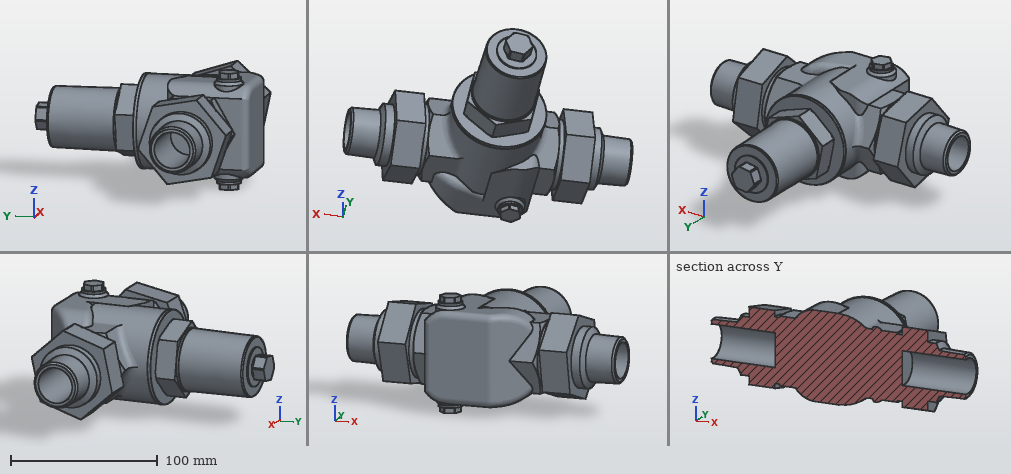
import cadquery as cq
import math


HALF_LENGTH = 97.5
BORE_DIA = 25.0
BORE_DEPTH = 48.8
TAIL_END_DIA = 32.2
TAIL_ROOT_DIA = 33.2
TAIL_ROOT_X = 77.5
TAIL_CHAMFER = 1.4
COLLAR_DIA = 42.5
COLLAR_X = 74.9
NUT_OUTER_X = 68.6
NUT_INNER_X = 48.5
NUT_CORNER_DIA = 62.8
LEFT_NUT_ANGLE = 49.0
RIGHT_NUT_ANGLE = 42.0
NECK_DIA = 48.0

PORT_X = 45.2
PORT_CORNER_DIA = 57.3
PORT_CHAMFER = 2.0
PORT_BLEND = 4.9
JOINT_REACH = 30.2

BARREL_DIA = 65.0
BARREL_TOP = 42.9
BARREL_BOTTOM = -11.7
BARREL_LIP_DIA = 65.5
BARREL_LIP_HEIGHT = 2.3
BARREL_LIP_ROUND = 0.8

CHAMBER_BOTTOM = -37.8
CHAMBER_HALF_DEPTH = 32.5
CHAMBER_LEFT = -33.2
CHAMBER_RIGHT = 39.8
INLET_BEND_X = -17.7
INLET_SIDE_Z = 21.5
OUTLET_BEND_X = 18.5
SHOULDER_OVERRUN = 2.0
OUTLET_SLOPE_X = 16.0
OUTLET_SLOPE_ROUND = 5.8
OUTLET_SIDE_Z = 16.0
OUTLET_SHOULDER_Y = -16.8
OUTLET_TOP_Y = -2.0
OUTLET_CREST_X = 28.3
OUTLET_ROOT_Y = -12.9
INLET_ROOT_Y = 12.5
INLET_CREST_X = -13.6
INLET_TOP_Y = 20.0
SHOULDER_ROUND = 5.8
OUTLET_TOP_ROUND = 7.8
CREST_ROUND = 11.7
INLET_TOP_ROUND = 7.8
CHAMBER_ROUND = 5.0

PLUG_X = -19.3
PLUG_Y = -21.3
PLUG_TOP = 40.46
PLUG_HEAD_BASE = 36.5
PLUG_HEAD_DIA = 15.0
PLUG_HEAD_ROUND_DIA = 14.5
PLUG_HEAD_ANGLE = 15.0
PLUG_COLLAR_DIA = 16.5
PLUG_COLLAR_BASE = 34.7
PLUG_BOSS_DIA = 20.3
PLUG_BOSS_TOP = 32.5

BONNET_HEX_CORNER_DIA = 52.6
BONNET_HEX_ANGLE = -11.5
BONNET_HEX_TOP = 57.5
BONNET_HEX_CHAMFER = 1.8
CAP_LIP_DIA = 44.3
CAP_LIP_TOP = 59.0
CAP_BASE_DIA = 43.3
CAP_TOP_DIA = 42.1
CAP_TOP = 106.0
CAP_CHAMFER = 1.2
WASHER_DIA = 27.3
WASHER_TOP = 107.0
STEM_DIA = 15.0
SCREW_BASE = 108.2
SCREW_TOP = 116.8
SCREW_CORNER_DIA = 19.3
SCREW_ROUND_DIA = 18.7
SCREW_ANGLE = 21.0


def y_plane(y):
    """Plane facing +Y at height y, with local x along +Z and local y along +X."""
    return cq.Plane(origin=(0, y, 0), xDir=(0, 0, 1), normal=(0, 1, 0))


def y_cylinder(diameter, bottom, top):
    return cq.Workplane(y_plane(bottom)).circle(diameter / 2).extrude(top - bottom)


def y_hexagon(corner_diameter, bottom, top, angle):
    """Hexagonal prism along Y; the angle of one corner is measured from +Z towards +X."""
    plane = y_plane(bottom).rotated((0, 0, angle))
    return cq.Workplane(plane).polygon(6, corner_diameter).extrude(top - bottom)


def x_hexagon(corner_diameter, start, end, angle=0.0):
    """Hexagonal prism along X; the angle of one corner is measured from +Y towards +Z."""
    plane = cq.Plane(origin=(start, 0, 0), xDir=(0, 1, 0), normal=(1, 0, 0)).rotated((0, 0, angle))
    return cq.Workplane(plane).polygon(6, corner_diameter).extrude(end - start)


def make_union_end(nut_angle):
    """Tail pipe, collar, neck and union nut on the +X end."""
    end_radius = TAIL_END_DIA / 2
    tail = (
        cq.Workplane("XY")
        .moveTo(0, 0)
        .lineTo(0, NECK_DIA / 2)
        .lineTo(NUT_INNER_X, NECK_DIA / 2)
        .lineTo(NUT_INNER_X, COLLAR_DIA / 2)
        .lineTo(COLLAR_X, COLLAR_DIA / 2)
        .lineTo(TAIL_ROOT_X, TAIL_ROOT_DIA / 2)
        .lineTo(HALF_LENGTH - TAIL_CHAMFER, end_radius)
        .lineTo(HALF_LENGTH, end_radius - TAIL_CHAMFER)
        .lineTo(HALF_LENGTH, 0)
        .close()
        .revolve(360, (0, 0, 0), (1, 0, 0))
    )
    return tail.union(x_hexagon(NUT_CORNER_DIA, NUT_INNER_X, NUT_OUTER_X, nut_angle))


def make_ports():
    """Hexagonal bar along X with its outer corners turned down."""
    corner_radius = PORT_CORNER_DIA / 2
    turned = (
        cq.Workplane("YZ")
        .workplane(offset=-PORT_X)
        .circle(corner_radius)
        .extrude(2 * PORT_X)
        .faces("<X or >X")
        .chamfer(PORT_CHAMFER, 2 * PORT_CHAMFER)
    )
    return x_hexagon(PORT_CORNER_DIA, -PORT_X, PORT_X).intersect(turned)


def shoulder_middle(bend, side):
    """Middle of the arc that leaves the flat at bend, parallel to X, and ends at side."""
    run = side[0] - bend[0]
    drop = bend[1] - side[1]
    radius = (run**2 + drop**2) / (2 * drop)
    half_sweep = math.atan2(drop, abs(run))
    middle_x = bend[0] + math.copysign(radius * math.sin(half_sweep), run)
    middle_z = bend[1] - radius * (1 - math.cos(half_sweep))
    return (middle_x, middle_z)


def flipped(point):
    return (point[0], -point[1])


def make_chamber():
    """Flow chamber: an outline seen along Y crossed with an outline seen along Z."""
    inlet_bend = (INLET_BEND_X, CHAMBER_HALF_DEPTH)
    inlet_side = (CHAMBER_LEFT - SHOULDER_OVERRUN, INLET_SIDE_Z)
    inlet_middle = shoulder_middle(inlet_bend, inlet_side)
    outlet_bend = (OUTLET_BEND_X, CHAMBER_HALF_DEPTH)
    outlet_side = (CHAMBER_RIGHT + SHOULDER_OVERRUN, OUTLET_SIDE_Z)
    outlet_middle = shoulder_middle(outlet_bend, outlet_side)
    across = (
        cq.Workplane("XZ", origin=(0, CHAMBER_BOTTOM, 0))
        .moveTo(*inlet_bend)
        .lineTo(*outlet_bend)
        .threePointArc(outlet_middle, outlet_side)
        .lineTo(*flipped(outlet_side))
        .threePointArc(flipped(outlet_middle), flipped(outlet_bend))
        .lineTo(*flipped(inlet_bend))
        .threePointArc(flipped(inlet_middle), flipped(inlet_side))
        .lineTo(*inlet_side)
        .threePointArc(inlet_middle, inlet_bend)
        .close()
        .extrude(CHAMBER_BOTTOM - BARREL_TOP)
    )
    along = (
        cq.Workplane("XY", origin=(0, 0, -CHAMBER_HALF_DEPTH))
        .moveTo(CHAMBER_LEFT, CHAMBER_BOTTOM)
        .lineTo(OUTLET_SLOPE_X, CHAMBER_BOTTOM)
        .lineTo(CHAMBER_RIGHT, OUTLET_SHOULDER_Y)
        .lineTo(CHAMBER_RIGHT, OUTLET_TOP_Y)
        .lineTo(OUTLET_CREST_X, OUTLET_TOP_Y)
        .lineTo(0, OUTLET_ROOT_Y)
        .lineTo(0, INLET_ROOT_Y)
        .lineTo(INLET_CREST_X, INLET_TOP_Y)
        .lineTo(CHAMBER_LEFT, INLET_TOP_Y)
        .close()
        .extrude(2 * CHAMBER_HALF_DEPTH)
    )
    rounded_corners = (
        (OUTLET_SLOPE_X, CHAMBER_BOTTOM, OUTLET_SLOPE_ROUND),
        (CHAMBER_RIGHT, OUTLET_SHOULDER_Y, SHOULDER_ROUND),
        (CHAMBER_RIGHT, OUTLET_TOP_Y, OUTLET_TOP_ROUND),
        (OUTLET_CREST_X, OUTLET_TOP_Y, CREST_ROUND),
        (INLET_CREST_X, INLET_TOP_Y, CREST_ROUND),
        (CHAMBER_LEFT, INLET_TOP_Y, INLET_TOP_ROUND),
    )
    for x, y, radius in rounded_corners:
        along = along.edges(cq.selectors.NearestToPointSelector((x, y, 0))).fillet(radius)
    return across.intersect(along).faces("<Y").edges().fillet(CHAMBER_ROUND)


def make_body():
    """Ports and barrel blended together, with the barrel lip and the flow chamber."""
    barrel = y_cylinder(BARREL_DIA, BARREL_BOTTOM, BARREL_TOP)
    body = make_ports().union(barrel)
    joint = cq.selectors.BoxSelector(
        (-JOINT_REACH, BARREL_BOTTOM + 2, -JOINT_REACH), (JOINT_REACH, PORT_CORNER_DIA / 2, JOINT_REACH)
    )
    body = body.edges(joint).fillet(PORT_BLEND)
    lip = y_cylinder(BARREL_LIP_DIA, BARREL_TOP - BARREL_LIP_HEIGHT, BARREL_TOP)
    lip = lip.faces(">Y").edges().fillet(BARREL_LIP_ROUND)
    return body.union(lip).union(make_chamber())


def make_plug():
    """Gauge plug on the +Z side: flared boss, collar and hexagon head."""
    boss = (
        cq.Workplane("XZ")
        .moveTo(0, 0)
        .lineTo(PLUG_BOSS_DIA / 2, 0)
        .lineTo(PLUG_BOSS_DIA / 2, PLUG_BOSS_TOP)
        .lineTo(PLUG_COLLAR_DIA / 2, PLUG_COLLAR_BASE)
        .lineTo(PLUG_COLLAR_DIA / 2, PLUG_HEAD_BASE)
        .lineTo(0, PLUG_HEAD_BASE)
        .close()
        .revolve(360, (0, 0, 0), (0, 1, 0))
    )
    head_height = PLUG_TOP - PLUG_HEAD_BASE
    head = cq.Workplane("XY").polygon(6, PLUG_HEAD_DIA).extrude(head_height)
    head = head.rotate((0, 0, 0), (0, 0, 1), PLUG_HEAD_ANGLE)
    head = head.intersect(cq.Workplane("XY").circle(PLUG_HEAD_ROUND_DIA / 2).extrude(head_height))
    plug = boss.union(head.translate((0, 0, PLUG_HEAD_BASE)))
    return plug.translate((PLUG_X, PLUG_Y, 0))


def make_bonnet():
    """Bonnet hexagon, tapered spring cap and adjusting screw."""
    hexagon = y_hexagon(BONNET_HEX_CORNER_DIA, BARREL_TOP, BONNET_HEX_TOP, BONNET_HEX_ANGLE)
    turned = y_cylinder(BONNET_HEX_CORNER_DIA, BARREL_TOP, BONNET_HEX_TOP)
    turned = turned.faces("<Y").chamfer(BONNET_HEX_CHAMFER / 2, BONNET_HEX_CHAMFER)
    cap = (
        cq.Workplane("XY")
        .moveTo(0, BONNET_HEX_TOP)
        .lineTo(CAP_LIP_DIA / 2, BONNET_HEX_TOP)
        .lineTo(CAP_LIP_DIA / 2, CAP_LIP_TOP)
        .lineTo(CAP_BASE_DIA / 2, CAP_LIP_TOP)
        .lineTo(CAP_TOP_DIA / 2, CAP_TOP - CAP_CHAMFER)
        .lineTo(CAP_TOP_DIA / 2 - CAP_CHAMFER / 2, CAP_TOP)
        .lineTo(WASHER_DIA / 2, CAP_TOP)
        .lineTo(WASHER_DIA / 2, WASHER_TOP)
        .lineTo(STEM_DIA / 2, WASHER_TOP)
        .lineTo(STEM_DIA / 2, SCREW_BASE)
        .lineTo(0, SCREW_BASE)
        .close()
        .revolve(360, (0, 0, 0), (0, 1, 0))
    )
    screw = y_hexagon(SCREW_CORNER_DIA, SCREW_BASE, SCREW_TOP, SCREW_ANGLE)
    screw = screw.intersect(y_cylinder(SCREW_ROUND_DIA, SCREW_BASE, SCREW_TOP))
    return hexagon.intersect(turned).union(cap).union(screw)


def make_bore():
    """Blind bore entering from the +X end."""
    return (
        cq.Workplane("YZ")
        .workplane(offset=HALF_LENGTH - BORE_DEPTH)
        .circle(BORE_DIA / 2)
        .extrude(BORE_DEPTH)
    )


result = make_body().union(make_bonnet())
plug = make_plug()
result = result.union(plug).union(plug.mirror("XY"))
result = result.union(make_union_end(RIGHT_NUT_ANGLE))
result = result.union(make_union_end(LEFT_NUT_ANGLE).mirror("YZ"))
bore = make_bore()
result = result.cut(bore).cut(bore.mirror("YZ"))